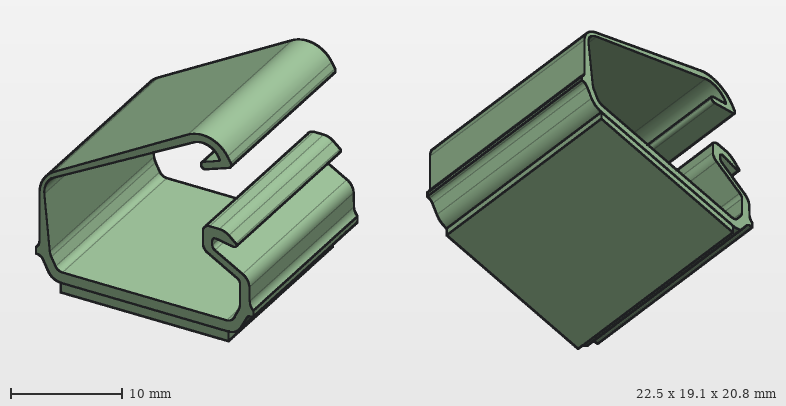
import cadquery as cq
import math

length = 19.05
overall_width = 22.49
overall_height = 20.84

join_tolerance = 1e-6

strip_width = 17.35
strip_thickness = 1.02

floor_thickness = 1.13
floor_bottom = strip_thickness
floor_top = floor_bottom + floor_thickness
slope_angle = math.radians(63)
inner_floor_half = 8.98
outer_floor_half = 9.55
inner_floor_radius = 0.8
outer_floor_radius = 1.5
slope_top_radius = 1.5

lug_half = overall_width / 2
lug_bottom = 3.33
lug_top = 3.97
lug_root_bottom = 3.25
lug_flare_height = 0.88
lug_lower_radius = 0.6
wall_half = 10.88

left_wall_inner_bottom = 3.71
left_wall_inner_x = -10.5
lid_outer_angle = math.radians(30)
lid_inner_angle = math.radians(28.8)
lid_bend_outer_radius = 3.0
lid_bend_inner_radius = 2.1

hook_x = 5.98
hook_outer_radius = 3.0
hook_inner_radius = 1.9
hook_thickness = 0.83
hook_outer_end_angle = math.radians(30)
hook_inner_end_angle = math.radians(22)
tongue_angle = math.radians(19.5)
tongue_end_x = 5.72
tongue_end_lean = 0.27
tongue_root_z = 18.66
hook_nose_z = 18.33
tongue_tip_radius = 0.36
hook_nose_radius = 0.42
hook_inside_radius = 0.14

right_wall_inner_x = 9.88
right_wall_outer_top_x = 10.82
arm_angle = math.radians(30)
arm_thickness = 0.8
arm_inner_start = 6.71
arm_bend_inner_radius = 0.6
arm_bend_outer_radius = 1.4
latch_left = 6.03
latch_wall = 0.97
latch_top = 11.49
latch_top_radius = 0.7
latch_bottom_radius = 1.0
latch_mouth_top = 10.47
latch_mouth_upper_radius = 0.35
latch_mouth_lower_radius = 0.55
nose_start_x = 8.3
nose_start_radius = 1.5
nose_tip = (9.57, 10.37)
nose_heel = (9.38, 10.02)
nose_tip_radius = 0.22


def tangent_corner(center, radius, first_angle, last_angle):
    """Point where the tangents at two places on a circle meet."""
    middle = (first_angle + last_angle) / 2
    reach = radius / math.cos((first_angle - last_angle) / 2)
    return center[0] + reach * math.cos(middle), center[1] + reach * math.sin(middle)


def rounded_outline(corners):
    """Closed XZ outline through (x, z, radius) corners, each rounded by its radius."""
    stretches = []
    for i, (x, z, radius) in enumerate(corners):
        corner = cq.Vector(x, z)
        to_last = (cq.Vector(*corners[i - 1][:2]) - corner).normalized()
        to_next = (cq.Vector(*corners[(i + 1) % len(corners)][:2]) - corner).normalized()
        if radius == 0:
            stretches.append([corner])
            continue
        half_angle = to_last.getAngle(to_next) / 2
        setback = radius / math.tan(half_angle)
        middle_reach = radius / math.sin(half_angle) - radius
        start = corner + to_last * setback
        middle = corner + (to_last + to_next).normalized() * middle_reach
        end = corner + to_next * setback
        stretches.append([start, middle, end])

    outline = cq.Workplane("XZ", origin=(0, length / 2, 0)).moveTo(*stretches[0][-1].toTuple()[:2])
    pen = stretches[0][-1]
    for stretch in stretches[1:] + stretches[:1]:
        if (stretch[0] - pen).Length > join_tolerance:
            outline = outline.lineTo(*stretch[0].toTuple()[:2])
        pen = stretch[-1]
        if len(stretch) > 1:
            outline = outline.threePointArc(stretch[1].toTuple()[:2], stretch[2].toTuple()[:2])
    return outline.close()


def lower_side(side):
    """Outer corners from the floor up to the wall; side is -1 for left, 1 for right."""
    slope_top_half = outer_floor_half + (lug_root_bottom - floor_bottom) / math.tan(slope_angle)
    flare_width = lug_half - wall_half
    flare_radius = (flare_width**2 + lug_flare_height**2) / (2 * flare_width)
    flare_setback = flare_radius * flare_width / lug_flare_height
    flare_corner = lug_top + lug_flare_height - flare_setback
    return [
        (side * outer_floor_half, floor_bottom, outer_floor_radius),
        (side * slope_top_half, lug_root_bottom, lug_lower_radius),
        (side * lug_half, lug_bottom, 0),
        (side * lug_half, lug_top, 0),
        (side * wall_half, flare_corner, flare_radius),
    ]


def inner_slope_height(half_width):
    """Height of the sloped inner face at a distance from the middle."""
    return floor_top + (half_width - inner_floor_half) * math.tan(slope_angle)


def tangent_x(center, radius, angle, height):
    """X at a height on the line that touches a circle at an angle."""
    return center[0] + radius / math.cos(angle) - (height - center[1]) * math.tan(angle)


def lid_and_hook():
    """Corners from the lid's bend over its top, round the hook and back along its underside."""
    outer_center = (hook_x, overall_height - hook_outer_radius)
    inner_center = (hook_x, overall_height - hook_thickness - hook_inner_radius)
    outer_corner = tangent_corner(
        outer_center, hook_outer_radius, math.pi / 2 + lid_outer_angle, hook_outer_end_angle)
    inner_corner = tangent_corner(
        inner_center, hook_inner_radius, math.pi / 2 + lid_inner_angle, hook_inner_end_angle)
    outer_bend_z = outer_corner[1] - (outer_corner[0] + wall_half) * math.tan(lid_outer_angle)
    inner_bend_z = inner_corner[1] - (inner_corner[0] - left_wall_inner_x) * math.tan(lid_inner_angle)

    root_x = tangent_x(inner_center, hook_inner_radius, hook_inner_end_angle, tongue_root_z)
    nose_x = tangent_x(outer_center, hook_outer_radius, hook_outer_end_angle, hook_nose_z)
    end_top_z = tongue_root_z - (root_x - tongue_end_x) * math.tan(tongue_angle)
    end_bottom_x = tongue_end_x + tongue_end_lean
    end_bottom_z = hook_nose_z - (nose_x - end_bottom_x) * math.tan(tongue_angle)
    return [
        (-wall_half, outer_bend_z, lid_bend_outer_radius),
        (*outer_corner, hook_outer_radius),
        (nose_x, hook_nose_z, hook_nose_radius),
        (end_bottom_x, end_bottom_z, tongue_tip_radius),
        (tongue_end_x, end_top_z, tongue_tip_radius),
        (root_x, tongue_root_z, hook_inside_radius),
        (*inner_corner, hook_inner_radius),
        (left_wall_inner_x, inner_bend_z, lid_bend_inner_radius),
    ]


def latch():
    """Corners of the latch, from the arm's underside round to its upper face."""
    def arm_underside(x):
        return arm_inner_start + (right_wall_inner_x - x) * math.tan(arm_angle)

    rise = arm_thickness / math.cos(arm_angle)
    mouth_x = latch_left + latch_wall
    return [
        (right_wall_inner_x, arm_inner_start, arm_bend_inner_radius),
        (latch_left, arm_underside(latch_left), latch_bottom_radius),
        (latch_left, latch_top, latch_top_radius),
        (nose_start_x, latch_top, nose_start_radius),
        (*nose_tip, nose_tip_radius),
        (*nose_heel, nose_tip_radius),
        (mouth_x, latch_mouth_top, latch_mouth_upper_radius),
        (mouth_x, arm_underside(mouth_x) + rise, latch_mouth_lower_radius),
        (right_wall_outer_top_x, arm_underside(right_wall_outer_top_x) + rise, arm_bend_outer_radius),
    ]


def build_clip():
    left_wall_bottom_half = inner_floor_half + (left_wall_inner_bottom - floor_top) / math.tan(slope_angle)
    corners = lower_side(-1)
    corners += lid_and_hook()
    corners += [
        (-left_wall_bottom_half, left_wall_inner_bottom, slope_top_radius),
        (-inner_floor_half, floor_top, inner_floor_radius),
        (inner_floor_half, floor_top, inner_floor_radius),
        (right_wall_inner_x, inner_slope_height(right_wall_inner_x), slope_top_radius),
    ]
    corners += latch()
    corners += [(wall_half, lug_top + lug_flare_height, 0)]
    corners += reversed(lower_side(1))
    return rounded_outline(corners).extrude(length)


def build_strip():
    return cq.Workplane("XY").rect(strip_width, length).extrude(strip_thickness)


clip = build_clip()
strip = build_strip()

result = cq.Compound.makeCompound([clip.val(), strip.val()])